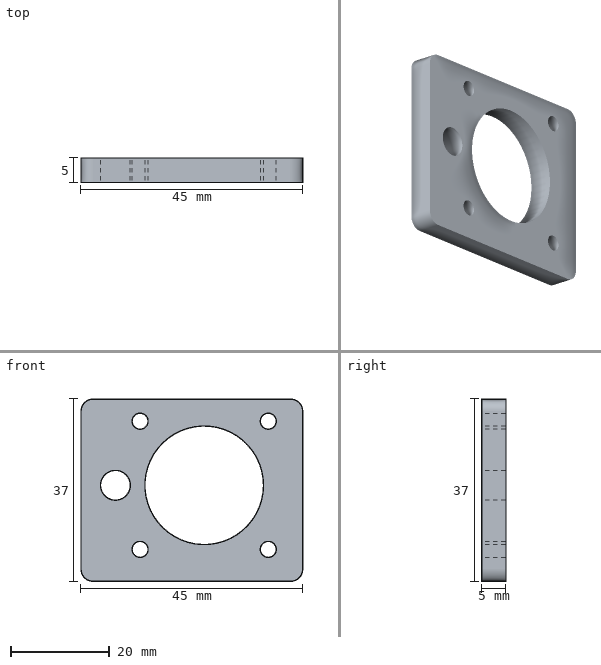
import cadquery as cq

plate_width = 45.0
plate_thickness = 5.0
plate_height = 37.0
corner_radius = 2.5

plate_center_x = -2.5
plate_center_z = -1.0

bore_diameter = 24.0
screw_hole_diameter = 3.2
screw_hole_spacing = 26.0
side_hole_diameter = 6.0
side_hole_offset = 18.0


def make_plate():
    """Upright plate centred on the XZ plane, with rounded corners."""
    return (
        cq.Workplane("XY")
        .box(plate_width, plate_thickness, plate_height)
        .edges("|Y")
        .fillet(corner_radius)
        .translate((plate_center_x, 0, plate_center_z))
    )


def through_holes(diameter, centers):
    """Cylinders along Y that span the plate thickness at the (x, z) centers."""
    return (
        cq.Workplane("XZ", origin=(0, plate_thickness / 2, 0))
        .pushPoints(centers)
        .circle(diameter / 2)
        .extrude(plate_thickness)
    )


half_spacing = screw_hole_spacing / 2
screw_hole_centers = [
    (x, z)
    for x in (-half_spacing, half_spacing)
    for z in (-half_spacing, half_spacing)
]

result = (
    make_plate()
    .cut(through_holes(bore_diameter, [(0, 0)]))
    .cut(through_holes(screw_hole_diameter, screw_hole_centers))
    .cut(through_holes(side_hole_diameter, [(-side_hole_offset, 0)]))
)